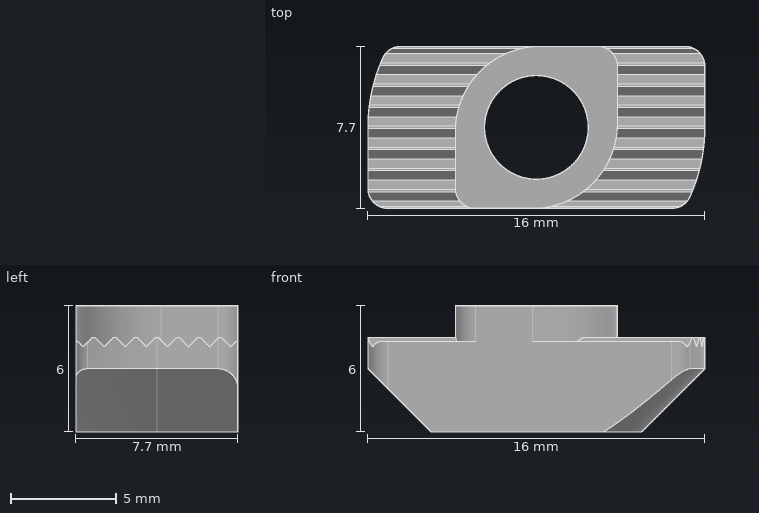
import cadquery as cq
import math

length = 16.0
width = 7.7
height = 6.0
shoulder_height = 4.5
base_half_length = 5.0
corner_radius = 0.96
bore_diameter = 4.91
tooth_pitch = 1.0
crest_flat = 0.11
groove_count = 8
edge_land_height = 4.3
boss_arc_radius = 4.03

half_length = length / 2
half_width = width / 2
chamfer_height = half_length - base_half_length


def half_turned(solid):
    """Copy of a solid turned half way round the Z axis."""
    return solid.rotate((0, 0, 0), (0, 0, 1), 180)


def round_corners(prism, corners):
    """Fillet the vertical edges of a prism that stand at the given XY corners."""
    for x, y in corners:
        nearest_edge = cq.selectors.NearestToPointSelector((x, y, prism.val().Center().z))
        prism = prism.edges("|Z").edges(nearest_edge).fillet(corner_radius)
    return prism


def body_plan():
    """Body prism with two opposite ends turned off about the Z axis, all corners rounded."""
    arc_end_x = math.sqrt(half_length**2 - half_width**2)
    half_angle = math.asin(half_width / half_length) / 2
    arc_mid_x = half_length * math.cos(half_angle)
    arc_mid_y = half_length * math.sin(half_angle)
    prism = (
        cq.Workplane("XY")
        .moveTo(-half_length, 0)
        .lineTo(-half_length, -half_width)
        .lineTo(arc_end_x, -half_width)
        .threePointArc((arc_mid_x, -arc_mid_y), (half_length, 0))
        .lineTo(half_length, half_width)
        .lineTo(-arc_end_x, half_width)
        .threePointArc((-arc_mid_x, arc_mid_y), (-half_length, 0))
        .close()
        .extrude(shoulder_height)
    )
    return round_corners(prism, [
        (-half_length, -half_width),
        (arc_end_x, -half_width),
        (half_length, half_width),
        (-arc_end_x, half_width),
    ])


def boss():
    """Square boss with two large and two small round corners, filling the grooves it crosses.

    It is rooted in the body at the top of the sloping underside.
    """
    prism = (
        cq.Workplane("XY", origin=(0, 0, chamfer_height))
        .rect(width, width)
        .extrude(height - chamfer_height)
    )
    prism = round_corners(prism, [(-half_width, -half_width), (half_width, half_width)])
    arc_centre = half_width - boss_arc_radius
    arc_mid = arc_centre + boss_arc_radius * math.sqrt(0.5)
    corner_waste = (
        cq.Workplane("XY", origin=(0, 0, chamfer_height))
        .moveTo(arc_centre, -half_width)
        .threePointArc((arc_mid, -arc_mid), (half_width, -arc_centre))
        .lineTo(half_width, -half_width)
        .close()
        .extrude(height - chamfer_height)
    )
    return prism.cut(corner_waste).cut(half_turned(corner_waste))


def half_profile():
    """Right half of the body outline in the XZ plane, with the sloping underside."""
    return (
        cq.Workplane("XZ")
        .lineTo(base_half_length, 0)
        .lineTo(half_length, chamfer_height)
        .lineTo(half_length, shoulder_height)
        .lineTo(0, shoulder_height)
        .close()
    )


def underside_envelope():
    """Sloping underside: flat below the straight ends, conical below the arc ends."""
    cone = half_profile().revolve(360, (0, 0, 0), (0, 1, 0))
    wedge = half_profile().extrude(-half_width)
    straight_quadrant = cq.Workplane("XY").box(
        half_length, half_length, shoulder_height, centered=False
    )
    arc_sectors = cone.cut(straight_quadrant).cut(half_turned(straight_quadrant))
    return arc_sectors.union(wedge).union(half_turned(wedge))


def tooth_grooves():
    """Row of 90 degree V grooves along X, centred across the width."""
    groove_half_width = (tooth_pitch - crest_flat) / 2
    grooves = cq.Workplane("YZ")
    for index in range(groove_count):
        y = (index - (groove_count - 1) / 2) * tooth_pitch
        grooves = grooves.polyline([
            (y - groove_half_width, shoulder_height),
            (y, shoulder_height - groove_half_width),
            (y + groove_half_width, shoulder_height),
        ]).close()
    return grooves.extrude(half_length, both=True)


def above_edge_lands():
    """Material outside the outermost grooves that stands above the edge lands."""
    outer_groove_y = (groove_count - 1) / 2 * tooth_pitch
    strip = cq.Workplane("XY").box(
        length, half_width - outer_groove_y, shoulder_height - edge_land_height,
        centered=(True, False, False),
    ).translate((0, outer_groove_y, edge_land_height))
    return strip.union(half_turned(strip))


body = body_plan().intersect(underside_envelope())
body = body.cut(tooth_grooves()).cut(above_edge_lands())
bore = cq.Workplane("XY").circle(bore_diameter / 2).extrude(height)

result = body.union(boss()).cut(bore)